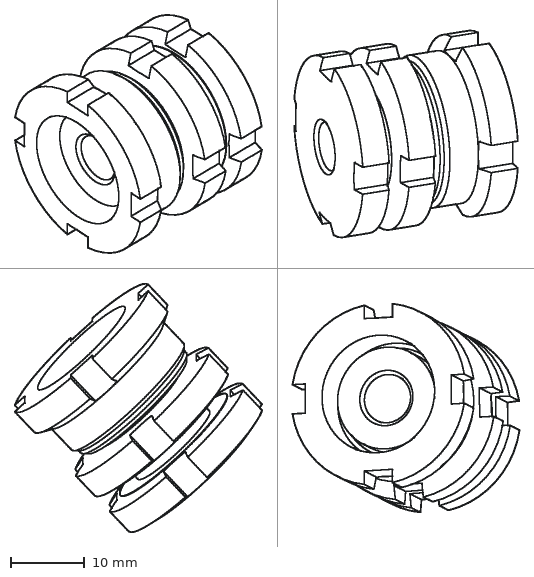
import cadquery as cq
import math

rim_radius = 12.5
slot_count = 4
slot_width = 4.0
slot_floor_radius = 10.5
cutter_overshoot = 0.25

base_length = 11.0
base_rim_length = 3.9
base_cone_length = 1.15
base_body_radius = slot_floor_radius
base_step = 0.6
base_lip_radius = 9.88
recess_radius = 8.1
recess_depth = 6.5

total_length = 23.3
spindle_radius = 7.5
spindle_start = 3.3
spindle_end_chamfer = 0.5
pilot_radius = spindle_radius - spindle_end_chamfer
pilot_end = recess_depth
neck_radius = 6.7
neck_start = 17.52
neck_fillet = 0.8
fillet_start_angle = 10
fillet_end_angle = 45
through_hole_radius = 3.32
hole_chamfer = 0.5
head_turn = 0.7
head_relief_radius = 9.95
head_relief_depth = 0.1

disc_thickness = 5.0
disc_chamfer_length = 0.57
disc_chamfer_angle = 15
disc_chamfer_width = disc_chamfer_length / math.tan(math.radians(disc_chamfer_angle))
disc_face_radius = rim_radius - disc_chamfer_width
nut_start = 11.5
nut_turn = 1.1

head_start = total_length - disc_thickness


def revolve_about_y(profile):
    """Revolve a closed profile, drawn with X as radius, around the Y axis."""
    return profile.revolve(360, (0, 0, 0), (0, 1, 0))


def revolve_points(points):
    """Revolve the closed polygon through the (radius, y) points around the Y axis."""
    return revolve_about_y(cq.Workplane("XY").polyline(points).close())


def slot_cutters(start, length, turn):
    """Four blocks that cut the rim slots, turned about the Y axis by the given degrees."""
    block_height = rim_radius - slot_floor_radius + cutter_overshoot
    block = (
        cq.Workplane("XY")
        .box(slot_width, length, block_height, centered=(True, False, False))
        .translate((0, start, slot_floor_radius))
    )
    cutters = cq.Workplane("XY")
    for index in range(slot_count):
        angle = index * 360 / slot_count - turn
        cutters = cutters.add(block.rotate((0, 0, 0), (0, 1, 0), angle))
    return cutters.combine()


def disc_outline(start):
    """Outer (radius, y) points of a disc with both rim edges chamfered."""
    end = start + disc_thickness
    return [
        (disc_face_radius, start),
        (rim_radius, start + disc_chamfer_length),
        (rim_radius, end - disc_chamfer_length),
        (disc_face_radius, end),
    ]


def make_base():
    cone_end = base_rim_length + base_cone_length
    lip_top = base_length - base_step
    lip_bottom = lip_top - base_step
    body_top = lip_bottom - base_step
    lead_in_end = recess_depth + recess_radius - spindle_radius
    body = revolve_points([
        (recess_radius, 0),
        (rim_radius, 0),
        (rim_radius, base_rim_length),
        (base_body_radius, cone_end),
        (base_body_radius, body_top),
        (base_lip_radius, lip_bottom),
        (base_lip_radius, lip_top),
        (base_lip_radius - base_step, base_length),
        (spindle_radius, base_length),
        (spindle_radius, lead_in_end),
        (recess_radius, recess_depth),
    ])
    return body.cut(slot_cutters(0, cone_end, 0))


def make_lock_nut():
    bore_points = [(spindle_radius, nut_start + disc_thickness), (spindle_radius, nut_start)]
    body = revolve_points(disc_outline(nut_start) + bore_points)
    return body.cut(slot_cutters(nut_start, disc_thickness, nut_turn))


def neck_fillet_point(angle):
    """(radius, y) of the neck fillet where its slope from the axis is the given degrees."""
    start = math.radians(fillet_start_angle)
    slope = math.radians(angle)
    radius = neck_radius + neck_fillet * (math.cos(start) - math.cos(slope))
    y = neck_start - neck_fillet * (math.sin(slope) - math.sin(start))
    return (radius, y)


def make_spindle():
    hole_mouth_radius = through_hole_radius + hole_chamfer
    arc_middle = neck_fillet_point((fillet_start_angle + fillet_end_angle) / 2)
    cone_radius, cone_start = neck_fillet_point(fillet_end_angle)
    cone_slope = math.tan(math.radians(fillet_end_angle))
    shank_end = cone_start - (spindle_radius - cone_radius) / cone_slope
    profile = (
        cq.Workplane("XY")
        .moveTo(hole_mouth_radius, spindle_start)
        .lineTo(pilot_radius, spindle_start)
        .lineTo(pilot_radius, pilot_end)
        .lineTo(spindle_radius, pilot_end + spindle_end_chamfer)
        .lineTo(spindle_radius, shank_end)
        .lineTo(cone_radius, cone_start)
        .threePointArc(arc_middle, (neck_radius, neck_start))
        .lineTo(neck_radius, head_start + head_relief_depth)
        .lineTo(head_relief_radius, head_start + head_relief_depth)
        .lineTo(head_relief_radius, head_start)
    )
    for radius, y in disc_outline(head_start):
        profile = profile.lineTo(radius, y)
    profile = (
        profile
        .lineTo(hole_mouth_radius, total_length)
        .lineTo(through_hole_radius, total_length - hole_chamfer)
        .lineTo(through_hole_radius, spindle_start + hole_chamfer)
        .close()
    )
    body = revolve_about_y(profile)
    return body.cut(slot_cutters(head_start, disc_thickness, head_turn))


base = make_base()
lock_nut = make_lock_nut()
spindle = make_spindle()

result = cq.Compound.makeCompound([base.val(), lock_nut.val(), spindle.val()])